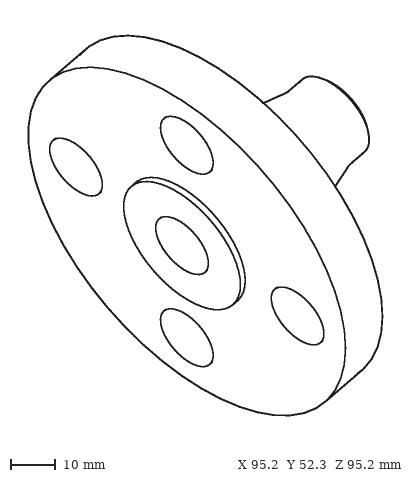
import cadquery as cq

flange_diameter = 95.2
flange_thickness = 12.6
face_diameter = 35.0
face_height = 1.6
overall_length = 52.3

hub_base_diameter = 37.9
neck_diameter = 21.5
neck_length = 6.6
hub_fillet = 6.0
neck_fillet = 5.0
weld_chamfer_length = 0.95
weld_chamfer_depth = 1.1

bore_diameter = 15.8
bolt_hole_diameter = 15.8
bolt_circle_diameter = 66.45
bolt_count = 4

flange_back = face_height + flange_thickness
neck_start = overall_length - neck_length
neck_radius = neck_diameter / 2


def disc(diameter, start, end):
    """Cylinder around the Y axis between two positions."""
    return cq.Workplane("XZ", origin=(0, start, 0)).circle(diameter / 2).extrude(start - end)


def make_hub():
    """Tapered hub and straight neck with a bevelled weld end."""
    return (
        cq.Workplane("XY")
        .moveTo(0, face_height)
        .lineTo(flange_diameter / 2, face_height)
        .lineTo(flange_diameter / 2, flange_back)
        .lineTo(hub_base_diameter / 2, flange_back)
        .lineTo(neck_radius, neck_start)
        .lineTo(neck_radius, overall_length - weld_chamfer_length)
        .lineTo(neck_radius - weld_chamfer_depth, overall_length)
        .lineTo(0, overall_length)
        .close()
        .revolve(360, (0, 0, 0), (0, 1, 0))
    )


def circle_edge(diameter, position):
    """Selector for the circular edge of a given diameter and position along Y."""
    half = diameter / 2
    margin = 0.1
    return cq.selectors.BoxSelector(
        (-half - margin, position - margin, -half - margin),
        (half + margin, position + margin, half + margin),
        boundingbox=True,
    )


def make_bolt_holes():
    """Through holes evenly spaced on the bolt circle, starting on the X axis."""
    return (
        cq.Workplane("XZ")
        .polarArray(bolt_circle_diameter / 2, 0, 360, bolt_count)
        .circle(bolt_hole_diameter / 2)
        .extrude(-flange_back)
    )


body = make_hub()
body = body.edges(circle_edge(hub_base_diameter, flange_back)).fillet(hub_fillet)
body = body.edges(circle_edge(neck_diameter, neck_start)).fillet(neck_fillet)
body = body.union(disc(face_diameter, 0, flange_back))

bore = disc(bore_diameter, 0, overall_length)
result = body.cut(bore).cut(make_bolt_holes())